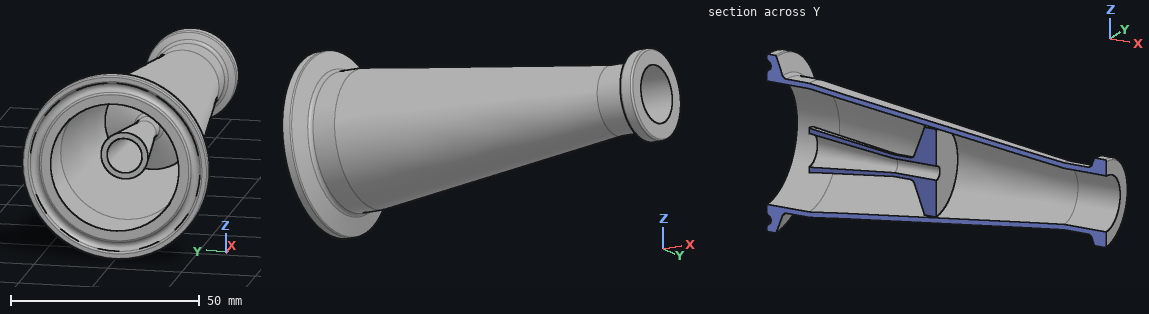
import cadquery as cq
import math


FLANGE_BACK_ANGLE = 20.0
NECK_FILLET = 1.2
END_LENGTH = 12.7

TOTAL_LENGTH = 101.6
LARGE_FLANGE_DIAMETER = 50.4
LARGE_RIM_WIDTH = 2.8
LARGE_RIM_FILLET = 0.4
LARGE_TUBE_DIAMETER = 38.1
LARGE_BORE_DIAMETER = 34.7
SMALL_FLANGE_DIAMETER = 25.0
SMALL_RIM_WIDTH = 3.7
SMALL_RIM_FILLET = 0.5
SMALL_TUBE_DIAMETER = 19.1
SMALL_BORE_DIAMETER = 15.7

GROOVE_DIAMETER = 43.6
GROOVE_WIDTH = 2.6
GROOVE_DEPTH = 1.2
GROOVE_EDGE_FILLET = 0.6

ADAPTER_START = END_LENGTH
ADAPTER_TAPER_LENGTH = 25.4
ADAPTER_MOUTH_DIAMETER = 12.7
ADAPTER_MOUTH_BORE = 9.4
ADAPTER_FLANGE_DIAMETER = SMALL_FLANGE_DIAMETER
ADAPTER_RIM_WIDTH = SMALL_RIM_WIDTH
ADAPTER_TUBE_DIAMETER = 6.3
ADAPTER_TUBE_BORE = 3.9

SELECTION_MARGIN = 0.01


def revolve_about_x(profile):
    """Turn a closed profile, drawn as (x, radius), about the X axis."""
    return profile.close().revolve(360, (0, 0, 0), (1, 0, 0))


def stepped_rod(stations):
    """Solid of revolution through (x, diameter) stations joined by straight lines."""
    profile = cq.Workplane("XY").moveTo(stations[0][0], 0)
    for x, diameter in stations:
        profile = profile.lineTo(x, diameter / 2)
    return revolve_about_x(profile.lineTo(stations[-1][0], 0))


def circle_edges(body, x, diameter):
    """Circular edges of the body in the plane at x with the given diameter."""
    margin = SELECTION_MARGIN
    half = diameter / 2 + margin
    outer = cq.selectors.BoxSelector((x - margin, -half, -half), (x + margin, half, half), True)
    edges = [
        edge
        for edge in body.edges(outer).vals()
        if edge.geomType() == "CIRCLE" and abs(edge.radius() - diameter / 2) < margin
    ]
    return body.newObject(edges)


def ferrule(face_x, inward, flange_diameter, rim_width, tube_diameter, rim_fillet):
    """Outer form of a flanged tube end; inward is +1 or -1 along X, away from the face.

    The conical back runs from the rim down to the tube; its edge with the rim stays sharp.
    """
    cone_length = (flange_diameter - tube_diameter) / 2 * math.tan(math.radians(FLANGE_BACK_ANGLE))
    rim_back_x = face_x + inward * rim_width
    neck_x = rim_back_x + inward * cone_length
    body = stepped_rod([
        (face_x, flange_diameter),
        (rim_back_x, flange_diameter),
        (neck_x, tube_diameter),
        (face_x + inward * END_LENGTH, tube_diameter),
    ])
    body = circle_edges(body, neck_x, tube_diameter).fillet(NECK_FILLET)
    return circle_edges(body, face_x, flange_diameter).fillet(rim_fillet)


def cut_gasket_groove(body):
    """Round-bottomed ring groove with rounded edges in the face at X = 0."""
    inner_diameter = GROOVE_DIAMETER - GROOVE_WIDTH
    outer_diameter = GROOVE_DIAMETER + GROOVE_WIDTH
    groove = revolve_about_x(
        cq.Workplane("XY")
        .moveTo(0, inner_diameter / 2)
        .threePointArc((GROOVE_DEPTH, GROOVE_DIAMETER / 2), (0, outer_diameter / 2))
    )
    body = body.cut(groove)
    for diameter in (inner_diameter, outer_diameter):
        body = circle_edges(body, 0, diameter).fillet(GROOVE_EDGE_FILLET)
    return body


def make_reducer():
    taper_end = TOTAL_LENGTH - END_LENGTH
    large_end = ferrule(
        face_x=0,
        inward=1,
        flange_diameter=LARGE_FLANGE_DIAMETER,
        rim_width=LARGE_RIM_WIDTH,
        tube_diameter=LARGE_TUBE_DIAMETER,
        rim_fillet=LARGE_RIM_FILLET,
    )
    large_end = circle_edges(large_end, LARGE_RIM_WIDTH, LARGE_FLANGE_DIAMETER).fillet(LARGE_RIM_FILLET)
    small_end = ferrule(
        face_x=TOTAL_LENGTH,
        inward=-1,
        flange_diameter=SMALL_FLANGE_DIAMETER,
        rim_width=SMALL_RIM_WIDTH,
        tube_diameter=SMALL_TUBE_DIAMETER,
        rim_fillet=SMALL_RIM_FILLET,
    )
    small_rim_back = TOTAL_LENGTH - SMALL_RIM_WIDTH
    small_end = circle_edges(small_end, small_rim_back, SMALL_FLANGE_DIAMETER).fillet(SMALL_RIM_FILLET)
    taper = stepped_rod([(END_LENGTH, LARGE_TUBE_DIAMETER), (taper_end, SMALL_TUBE_DIAMETER)])
    bore = stepped_rod([
        (0, LARGE_BORE_DIAMETER),
        (END_LENGTH, LARGE_BORE_DIAMETER),
        (taper_end, SMALL_BORE_DIAMETER),
        (TOTAL_LENGTH, SMALL_BORE_DIAMETER),
    ])
    body = large_end.union(taper).union(small_end).cut(bore)
    return cut_gasket_groove(body).solids()


def make_adapter():
    taper_end = ADAPTER_START + ADAPTER_TAPER_LENGTH
    face_x = taper_end + END_LENGTH
    taper = stepped_rod([(ADAPTER_START, ADAPTER_MOUTH_DIAMETER), (taper_end, ADAPTER_TUBE_DIAMETER)])
    flanged_end = ferrule(
        face_x=face_x,
        inward=-1,
        flange_diameter=ADAPTER_FLANGE_DIAMETER,
        rim_width=ADAPTER_RIM_WIDTH,
        tube_diameter=ADAPTER_TUBE_DIAMETER,
        rim_fillet=SMALL_RIM_FILLET,
    )
    bore = stepped_rod([
        (ADAPTER_START, ADAPTER_MOUTH_BORE),
        (taper_end, ADAPTER_TUBE_BORE),
        (face_x, ADAPTER_TUBE_BORE),
    ])
    return taper.union(flanged_end).cut(bore).solids()


reducer = make_reducer()
adapter = make_adapter()
result = cq.Compound.makeCompound([reducer.val(), adapter.val()])